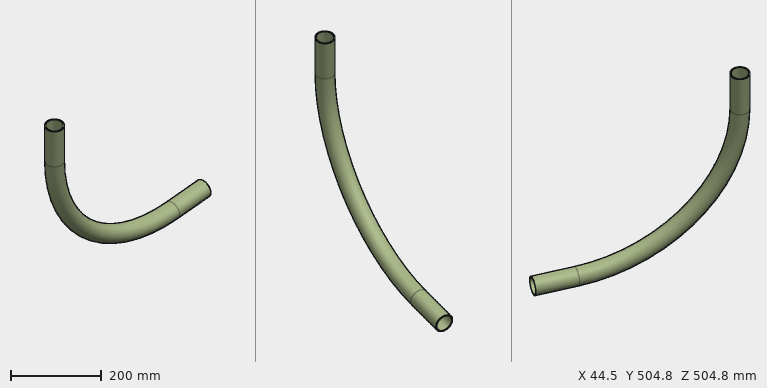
import cadquery as cq
import math

OUTER_DIAMETER = 44.45
INNER_DIAMETER = 38.35
BEND_RADIUS = 381.0
TANGENT_LENGTH = 101.6


def centreline():
    """Path in the YZ plane: down the vertical leg, round the bend, out along +Y."""
    mid_offset = BEND_RADIUS * math.cos(math.radians(45))
    bend_start = (0, 0)
    bend_middle = (BEND_RADIUS - mid_offset, -mid_offset)
    bend_end = (BEND_RADIUS, -BEND_RADIUS)
    return (
        cq.Workplane("YZ")
        .moveTo(0, TANGENT_LENGTH)
        .lineTo(*bend_start)
        .threePointArc(bend_middle, bend_end)
        .lineTo(BEND_RADIUS + TANGENT_LENGTH, -BEND_RADIUS)
    )


def tube():
    """Ring section at the top of the vertical leg, swept along the centreline."""
    section = (
        cq.Workplane("XY", origin=(0, 0, TANGENT_LENGTH))
        .circle(OUTER_DIAMETER / 2)
        .circle(INNER_DIAMETER / 2)
    )
    return section.sweep(centreline())


result = tube()